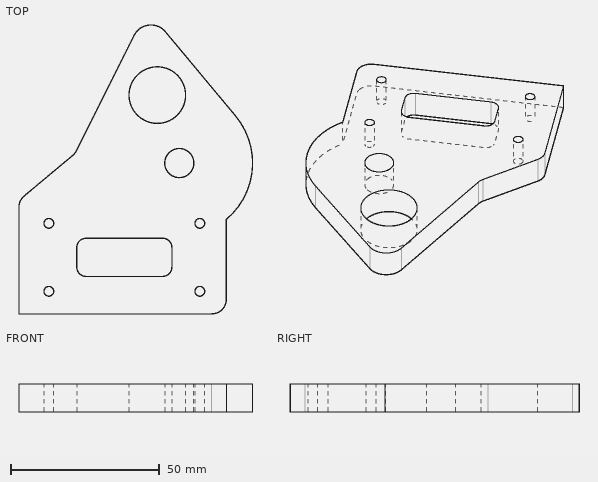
import cadquery as cq
import math

thickness = 9.5
base_width = 69.9
shoulder_height = 38.2
notch = (18.9, 54.0)
corner_radius = 5.0

overall_height = 97.3
overall_width = 78.7
tip_radius = 6.3
tip_center = (44.5, overall_height - tip_radius)
lobe_radius = 24.7
lobe_center = (overall_width - lobe_radius, 50.8)

large_hole_center = (46.6, 73.7)
large_hole_diameter = 19.0
lobe_hole_diameter = 9.7

window_center = (35.5, 19.1)
window_length = 31.9
window_height = 12.75
window_corner_radius = 3.0
mount_spacing_x = 50.8
mount_spacing_y = 22.9
mount_hole_diameter = 3.2


def point_on_circle(center, radius, angle):
    return (center[0] + radius * math.cos(angle), center[1] + radius * math.sin(angle))


def direction_and_distance(start, end):
    dx = end[0] - start[0]
    dy = end[1] - start[1]
    return math.atan2(dy, dx), math.hypot(dx, dy)


def make_plate():
    lobe_start_angle = -math.acos((base_width - lobe_center[0]) / lobe_radius)

    direction, distance = direction_and_distance(lobe_center, tip_center)
    side_angle = direction - math.acos((lobe_radius - tip_radius) / distance)

    direction, distance = direction_and_distance(tip_center, notch)
    tip_end_angle = direction - math.acos(tip_radius / distance) + 2 * math.pi

    lobe_middle_angle = (lobe_start_angle + side_angle) / 2
    tip_middle_angle = (side_angle + tip_end_angle) / 2
    outline = (
        cq.Workplane("XY")
        .lineTo(base_width, 0)
        .lineTo(*point_on_circle(lobe_center, lobe_radius, lobe_start_angle))
        .threePointArc(
            point_on_circle(lobe_center, lobe_radius, lobe_middle_angle),
            point_on_circle(lobe_center, lobe_radius, side_angle),
        )
        .lineTo(*point_on_circle(tip_center, tip_radius, side_angle))
        .threePointArc(
            point_on_circle(tip_center, tip_radius, tip_middle_angle),
            point_on_circle(tip_center, tip_radius, tip_end_angle),
        )
        .lineTo(*notch)
        .lineTo(0, shoulder_height)
        .close()
    )
    plate = outline.extrude(thickness)
    for x, y in [(base_width, 0), notch, (0, shoulder_height)]:
        corner = cq.selectors.NearestToPointSelector((x, y, thickness / 2))
        plate = plate.edges("|Z").edges(corner).fillet(corner_radius)
    return plate


def make_holes(centers, diameter):
    return cq.Workplane("XY").pushPoints(centers).circle(diameter / 2).extrude(thickness)


def make_window():
    return (
        cq.Workplane("XY")
        .center(*window_center)
        .rect(window_length, window_height)
        .extrude(thickness)
        .edges("|Z")
        .fillet(window_corner_radius)
    )


mount_centers = [
    (window_center[0] + side_x * mount_spacing_x / 2, window_center[1] + side_y * mount_spacing_y / 2)
    for side_x in (-1, 1)
    for side_y in (-1, 1)
]

result = (
    make_plate()
    .cut(make_holes([large_hole_center], large_hole_diameter))
    .cut(make_holes([lobe_center], lobe_hole_diameter))
    .cut(make_holes(mount_centers, mount_hole_diameter))
    .cut(make_window())
)